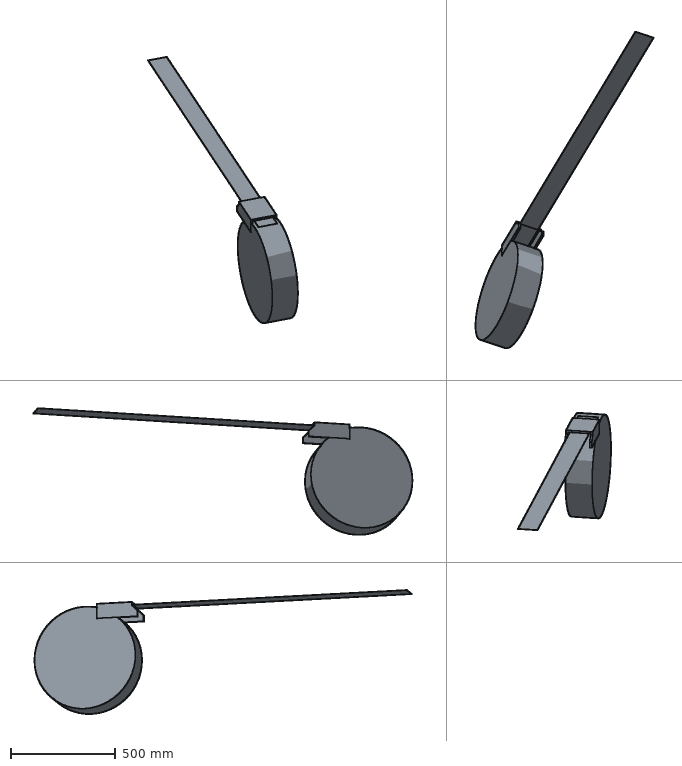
import cadquery as cq

TAPE_LENGTH = 1590.0
TAPE_WIDTH = 95.0
TAPE_THICKNESS = 1.0
DRUM_DIAMETER = 500.0
WIDTH = 130.0
GUIDE_WALL = 10.1

GUIDE_BACK_OFFSET = 59.0
GUIDE_FRONT_OFFSET = 260.0
GUIDE_HEIGHT = 72.0
GUIDE_NOSE_HEIGHT = 30.0
GUIDE_SLOPE = 28.0

DRUM_RADIUS = DRUM_DIAMETER / 2
DRUM_X = TAPE_LENGTH
ROOF_Z = DRUM_DIAMETER + TAPE_THICKNESS
GUIDE_TOP_Z = ROOF_Z + GUIDE_WALL
GUIDE_BOTTOM_Z = GUIDE_TOP_Z - GUIDE_HEIGHT
GUIDE_BACK_X = DRUM_X - GUIDE_BACK_OFFSET
GUIDE_FRONT_X = DRUM_X - GUIDE_FRONT_OFFSET


def make_guide():
    """Inverted channel, open below and at both ends, with a sloped front edge."""
    slope_bottom_z = GUIDE_BOTTOM_Z + GUIDE_NOSE_HEIGHT
    slope_top_z = slope_bottom_z + GUIDE_SLOPE
    roof_front_x = GUIDE_FRONT_X + GUIDE_SLOPE
    block = (
        cq.Workplane("XZ")
        .moveTo(GUIDE_FRONT_X, GUIDE_BOTTOM_Z)
        .lineTo(GUIDE_FRONT_X, slope_bottom_z)
        .lineTo(roof_front_x, slope_top_z)
        .lineTo(roof_front_x, GUIDE_TOP_Z)
        .lineTo(GUIDE_BACK_X, GUIDE_TOP_Z)
        .lineTo(GUIDE_BACK_X, GUIDE_BOTTOM_Z)
        .close()
        .extrude(WIDTH / 2, both=True)
    )
    channel = cq.Workplane("XY").box(
        GUIDE_FRONT_OFFSET - GUIDE_BACK_OFFSET,
        WIDTH - 2 * GUIDE_WALL,
        ROOF_Z - GUIDE_BOTTOM_Z,
        centered=(False, True, False),
    )
    return block.cut(channel.translate((GUIDE_FRONT_X, 0, GUIDE_BOTTOM_Z)))


def make_drum(guide):
    """Solid disc with side recesses that match the walls of the guide."""
    disc = (
        cq.Workplane("XZ")
        .center(DRUM_X, DRUM_RADIUS)
        .circle(DRUM_RADIUS)
        .extrude(WIDTH / 2, both=True)
    )
    return disc.cut(guide)


def make_tape():
    """Flat strip that runs under the guide roof, tangent to the drum top."""
    strip = cq.Workplane("XY").box(
        TAPE_LENGTH, TAPE_WIDTH, TAPE_THICKNESS, centered=(False, True, False)
    )
    return strip.translate((0, 0, DRUM_DIAMETER))


guide = make_guide()
drum = make_drum(guide)
tape = make_tape()

result = cq.Compound.makeCompound([drum.solids().val(), guide.solids().val(), tape.val()])